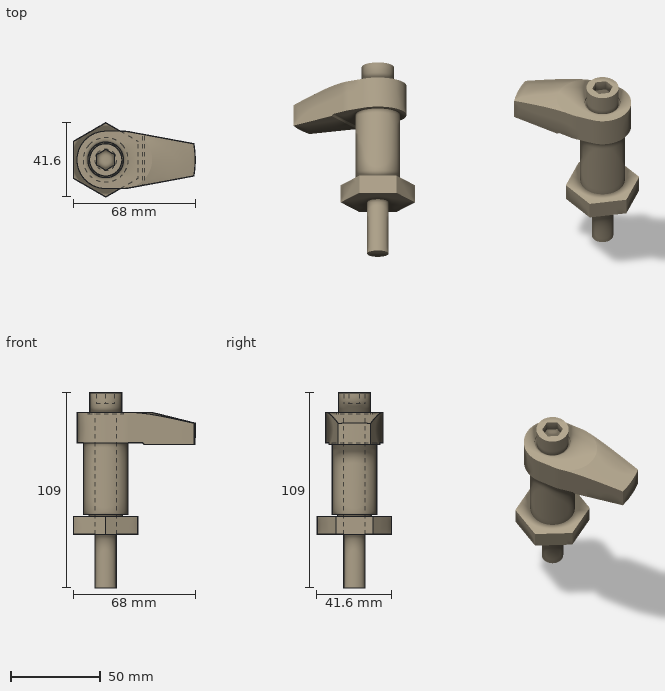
import cadquery as cq
import math

total_height = 109.0
nut_bottom = 30.0
nut_top = 40.0
hub_bottom = 41.0
lever_bottom = 81.0
lever_top = 98.0

shank_diameter = 12.0
head_diameter = 18.0
head_height = 12.0
socket_flats = 10.0
socket_depth = 6.0

nut_flats = 36.0
collar_diameter = 19.0

hub_diameter = 25.0
boss_radius = 16.0
boss_length = 10.0
recess_diameter = 20.0
grip_reach = 50.0
grip_end_half_width = 9.0
grip_slope = 0.25
grip_lip = 1.0
lip_start = 20.6
lip_run = 1.0


def cylinder(diameter, bottom, top):
    return cq.Workplane("XY").workplane(offset=bottom).circle(diameter / 2).extrude(top - bottom)


def hexagon(flats, bottom, top):
    """Hexagonal prism with two of its corners on the Y axis."""
    prism = cq.Workplane("XY").workplane(offset=bottom).polygon(6, flats / math.cos(math.pi / 6))
    return prism.extrude(top - bottom).rotate((0, 0, 0), (0, 0, 1), 90)


def make_screw():
    head_bottom = total_height - head_height
    shank = cylinder(shank_diameter, 0, head_bottom)
    head = cylinder(head_diameter, head_bottom, total_height)
    socket = hexagon(socket_flats, total_height - socket_depth, total_height)
    return shank.union(head).cut(socket)


def make_nut():
    collar = cylinder(collar_diameter, nut_top, hub_bottom)
    bore = cylinder(shank_diameter, nut_bottom, hub_bottom)
    return hexagon(nut_flats, nut_bottom, nut_top).union(collar).cut(bore)


def lever_outline():
    """Round boss whose sides run tangentially into the tapered grip."""
    end_x = math.sqrt(grip_reach**2 - grip_end_half_width**2)
    end_distance = math.hypot(end_x - boss_length, grip_end_half_width)
    tangent_angle = (
        math.atan2(grip_end_half_width, end_x - boss_length) + math.acos(boss_radius / end_distance)
    )

    def on_boss(angle):
        return (boss_length + boss_radius * math.cos(angle), boss_radius * math.sin(angle))

    tangent_x, tangent_y = on_boss(tangent_angle)
    middle_x, middle_y = on_boss((tangent_angle + math.pi / 2) / 2)
    return (
        cq.Workplane("XY").workplane(offset=lever_bottom - grip_lip)
        .moveTo(0, boss_radius)
        .threePointArc((-boss_radius, 0), (0, -boss_radius))
        .lineTo(boss_length, -boss_radius)
        .threePointArc((middle_x, -middle_y), (tangent_x, -tangent_y))
        .lineTo(end_x, -grip_end_half_width)
        .threePointArc((grip_reach, 0), (end_x, grip_end_half_width))
        .lineTo(tangent_x, tangent_y)
        .threePointArc((middle_x, middle_y), (boss_length, boss_radius))
        .close()
    )


def boss_underside():
    """Space below the boss, ending at the sloped start of the grip's lip."""
    lip_bottom = lever_bottom - grip_lip
    return (
        cq.Workplane("XZ")
        .moveTo(-boss_radius, lip_bottom)
        .lineTo(lip_start + lip_run, lip_bottom)
        .lineTo(lip_start, lever_bottom)
        .lineTo(-boss_radius, lever_bottom)
        .close()
        .extrude(boss_radius, both=True)
    )


def grip_top_cone():
    """Cone about the boss's outer centre; its top circle is the edge of the flat boss face."""
    height = lever_top - lever_bottom + grip_lip
    base_radius = boss_radius + height / grip_slope
    cone = cq.Solid.makeCone(base_radius, boss_radius, height, pnt=cq.Vector(boss_length, 0, 0))
    return cq.Workplane(cone.translate(cq.Vector(0, 0, lever_top - height)))


def boss_envelope():
    """Block around the part of the boss that lies before its outer centre, where the top stays flat."""
    length = boss_length + boss_radius
    return (
        cq.Workplane("XY").workplane(offset=lever_bottom - grip_lip)
        .center(boss_length - length / 2, 0)
        .rect(length, 2 * boss_radius)
        .extrude(lever_top - lever_bottom + grip_lip)
    )


def make_lever():
    arm = lever_outline().extrude(lever_top - lever_bottom + grip_lip)
    arm = arm.intersect(grip_top_cone().union(boss_envelope())).cut(boss_underside())
    hub = cylinder(hub_diameter, hub_bottom, lever_bottom)
    bore = cylinder(shank_diameter, hub_bottom, lever_top)
    recess = cylinder(recess_diameter, total_height - head_height, lever_top)
    return arm.union(hub).cut(bore).cut(recess)


screw = make_screw()
nut = make_nut()
lever = make_lever()

result = cq.Compound.makeCompound([screw.val(), nut.val(), lever.val()])